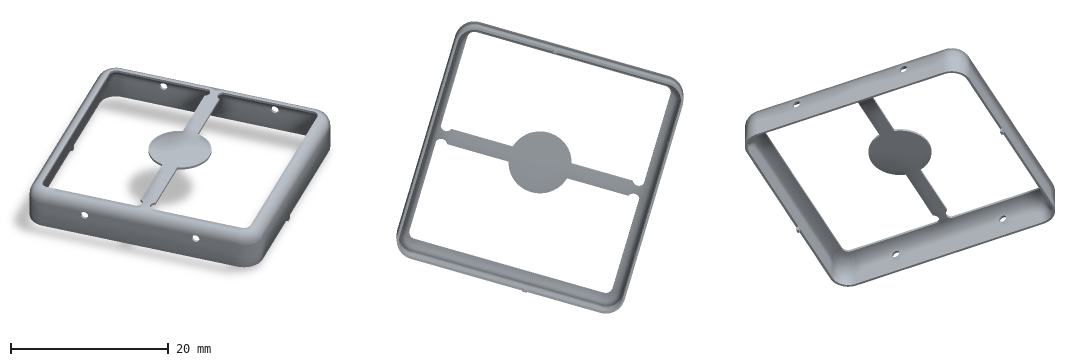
import cadquery as cq

LENGTH = 31.2
WIDTH = 30.0
WALL_HEIGHT = 5.0
SHEET = 0.3
CORNER_RADIUS = 2.5
EDGE_RADIUS = 1.5
LIP_WIDTH = 1.6

HOLE_DIAMETER = 1.0
HOLE_OFFSET = 7.5
HOLE_DEPTH_BELOW_TOP = 2.0

FOOT_HEIGHT = 0.6
FOOT_WIDTH = 0.53
FOOT_OFFSET = 2.53

DISC_RADIUS = 4.0
STRIP_WIDTH = 2.0
NECK_WIDTH = 1.05
NECK_LENGTH = 1.45


def rounded_block(inset, height, edge_radius=0):
    """Block with rounded vertical corners, inset from the outer faces of the frame."""
    block = (
        cq.Workplane("XY")
        .rect(LENGTH - 2 * inset, WIDTH - 2 * inset)
        .extrude(height)
        .edges("|Z")
        .fillet(CORNER_RADIUS - inset)
    )
    if edge_radius:
        block = block.faces(">Z").edges().fillet(edge_radius)
    return block


def frame():
    outer = rounded_block(0, WALL_HEIGHT, EDGE_RADIUS)
    cavity = rounded_block(SHEET, WALL_HEIGHT - SHEET, EDGE_RADIUS - SHEET)
    opening = rounded_block(LIP_WIDTH, WALL_HEIGHT)
    return outer.cut(cavity).cut(opening)


def wall_holes():
    return (
        cq.Workplane("XZ", origin=(0, 0, WALL_HEIGHT - HOLE_DEPTH_BELOW_TOP))
        .pushPoints([(-HOLE_OFFSET, 0), (HOLE_OFFSET, 0)])
        .circle(HOLE_DIAMETER / 2)
        .extrude(WIDTH, both=True)
    )


def feet():
    foot_x = (LENGTH - SHEET) / 2
    return (
        cq.Workplane("XY", origin=(0, 0, -FOOT_HEIGHT))
        .pushPoints([(-foot_x, FOOT_OFFSET), (foot_x, -FOOT_OFFSET)])
        .rect(SHEET, FOOT_WIDTH)
        .extrude(FOOT_HEIGHT)
    )


def bridge():
    half_strip = STRIP_WIDTH / 2
    half_neck = NECK_WIDTH / 2
    lip_y = WIDTH / 2 - LIP_WIDTH
    shoulder_y = lip_y - NECK_LENGTH
    neck_y = lip_y - NECK_LENGTH / 2

    base = cq.Workplane("XY", origin=(0, 0, WALL_HEIGHT - SHEET))
    arm = (
        base.moveTo(-half_strip, 0)
        .lineTo(half_strip, 0)
        .lineTo(half_strip, shoulder_y)
        .threePointArc((half_neck, neck_y), (half_strip, lip_y))
        .lineTo(-half_strip, lip_y)
        .threePointArc((-half_neck, neck_y), (-half_strip, shoulder_y))
        .close()
        .extrude(SHEET)
    )
    disc = base.circle(DISC_RADIUS).extrude(SHEET)
    return disc.union(arm).union(arm.mirror("XZ"))


result = frame().cut(wall_holes()).union(feet()).union(bridge())